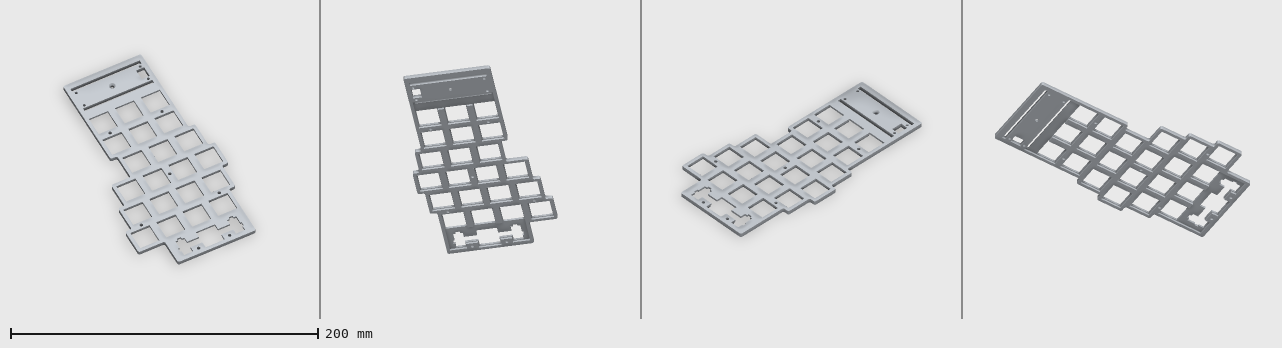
import cadquery as cq
length = 162.5
depth = 85.8
thickness = 3.0
corner_radius = 1.3

pitch = depth / 4.5
stagger = pitch / 4
grid_columns = 7
bay_width = length - grid_columns * pitch
half_main = 1.5 * pitch

switch_size = 14.0
lip_thickness = 1.5
relief = 0.5

pocket_end = pitch + switch_size / 2 + relief

column_groups = [
    (0, 3, 2),
    (stagger, 3, 1),
    (2 * stagger, 4, 1),
    (stagger, 4, 1),
    (0, 4, 1),
]

stem_width = 4.9
stem_offset = -0.2
stabiliser_offset = 19.0
stabiliser_width = 12.5
stabiliser_height = 6.7
stabiliser_shift = -0.2
side_notch_depth = 1.5
side_notch_height = 3.0
end_notch_depth = 1.0
end_notch_width = 3.0
end_notch_shift = 1.0

plate_hole_diameter = 2.3
edge_hole_shift = 5.4
edge_hole_y = 11.4

bay_center = bay_width / 2
slot_length = 50.9
slot_width = 2.6
slot_spacing = 17.9
window_width = 8.0
window_height = 5.8
bay_hole_diameter = 2.0
bay_hole_spacing_x = 11.4
bay_hole_spacing_y = 47.0
center_hole_diameter = 2.3
countersink_diameter = 4.5
countersink_angle = 90


def column_x(index):
    """Center of a key column; index 0 is next to the bay."""
    return bay_width + (index + 0.5) * pitch


def block(x, y, width, height, top=0.0):
    """Cutting block around (x, y) that runs from Z = top down through the bottom face."""
    cut_depth = thickness + top
    return cq.Workplane("XY", origin=(x, y, top)).rect(width, height).extrude(-cut_depth)


def pocket(left, right, bottom, top):
    """Underside pocket between the given sides that leaves only the lip above it."""
    middle_x = (left + right) / 2
    middle_y = (bottom + top) / 2
    return block(middle_x, middle_y, right - left, top - bottom, -lip_thickness)


def relieved_opening(x, y, width, height):
    """Opening through the plate that is wider on all sides below the lip."""
    half_x = width / 2 + relief
    half_y = height / 2 + relief
    lower = pocket(x - half_x, x + half_x, y - half_y, y + half_y)
    return block(x, y, width, height).union(lower)


def drill(plate, points, diameter):
    return plate.cut(cq.Workplane("XY").pushPoints(points).circle(diameter / 2).extrude(-thickness))


def plate_body():
    """Main rectangle joined with the staggered key columns, all vertical corners rounded."""
    plain_width = bay_width + pitch
    body = block(plain_width / 2, 0, plain_width, 2 * half_main)
    body = body.union(block(column_x(grid_columns - 1), 0, pitch, 2 * half_main))
    column = 0
    for lift, keys, count in column_groups:
        column_height = keys * pitch
        middle = half_main + lift - column_height / 2
        for _ in range(count):
            body = body.union(block(column_x(column), middle, pitch, column_height))
            column += 1
    return body.edges("|Z").fillet(corner_radius)


def cut_switch_openings(plate):
    column = 0
    for lift, keys, count in column_groups:
        top_row = half_main + lift - pitch / 2
        for _ in range(count):
            for row in range(keys):
                opening = relieved_opening(column_x(column), top_row - row * pitch, switch_size, switch_size)
                plate = plate.cut(opening)
            column += 1
    return plate


def cut_stabilised_key(plate):
    x = column_x(grid_columns - 1)
    housing_x = x + stabiliser_shift
    housing_side = housing_x + stabiliser_width / 2 + relief
    side_notch_x = housing_x - stabiliser_width / 2
    opening = relieved_opening(x, 0, switch_size, switch_size)
    key_side = x - pitch + switch_size / 2
    stem_side = x + stem_offset + stem_width / 2 + relief
    opening = opening.union(pocket(key_side, stem_side, -pocket_end, pocket_end))
    opening = opening.union(relieved_opening(x + stem_offset, 0, stem_width, 2 * stabiliser_offset))
    for side in (1, -1):
        y = side * stabiliser_offset
        end_y = y + side * stabiliser_height / 2
        housing = relieved_opening(housing_x, y, stabiliser_width, stabiliser_height)
        side_notch = block(side_notch_x, y, 2 * side_notch_depth, side_notch_height)
        end_notch = block(x + end_notch_shift, end_y, end_notch_width, 2 * end_notch_depth)
        near, far = sorted((y, side * pocket_end))
        housing = housing.union(pocket(housing_x, housing_side, near, far))
        opening = opening.union(housing).union(side_notch).union(end_notch)
    return plate.cut(opening)


def drill_plate_holes(plate):
    inner_x = bay_width + pitch
    outer_x = bay_width + 5 * pitch
    edge_x = column_x(grid_columns - 1) + edge_hole_shift
    outer_y = pitch + stagger / 2
    points = [
        (inner_x, pitch),
        (inner_x, -pitch),
        (column_x(3), 0),
        (outer_x, outer_y),
        (outer_x, outer_y - 3 * pitch),
        (edge_x, edge_hole_y),
        (edge_x, -edge_hole_y),
    ]
    return drill(plate, points, plate_hole_diameter)


def cut_bay(plate):
    for side in (-1, 1):
        plate = plate.cut(block(bay_center + side * slot_spacing / 2, 0, slot_width, slot_length))
    right_slot_side = bay_center + (slot_spacing - slot_width) / 2
    plate = plate.cut(pocket(right_slot_side, column_x(0) - switch_size / 2, -pocket_end, pocket_end))
    window_y = (slot_length - window_height) / 2
    plate = plate.cut(block(bay_center, window_y, window_width, window_height))
    corners = [
        (bay_center + side * bay_hole_spacing_x / 2, end * bay_hole_spacing_y / 2)
        for side in (-1, 1)
        for end in (-1, 1)
    ]
    plate = drill(plate, corners, bay_hole_diameter)
    top_face = plate.faces(">Z").workplane(origin=(bay_center, 0, 0))
    return top_face.cskHole(center_hole_diameter, countersink_diameter, countersink_angle)


result = plate_body()
result = cut_switch_openings(result)
result = cut_stabilised_key(result)
result = drill_plate_holes(result)
result = cut_bay(result)